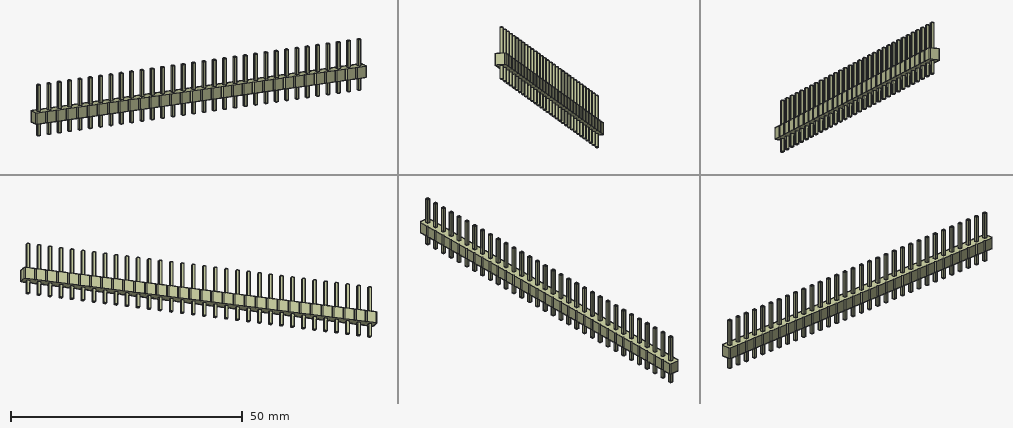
import cadquery as cq

row_length = 81.3
pin_count = 32
pitch = row_length / pin_count

body_width = pitch
body_height = pitch
corner_chamfer = 0.25

pin_width = 0.64
tip_chamfer = 0.2
pin_above_body = 6.0
pin_below_body = 3.0
pin_length = pin_below_body + body_height + pin_above_body

cell_centres = [(i - (pin_count - 1) / 2) * pitch for i in range(pin_count)]


def make_cell():
    """One insulator cell with its four upright corners cut off, centred on the Z axis."""
    return (
        cq.Workplane("XY")
        .box(body_width, pitch, body_height, centered=(True, True, False))
        .edges("|Z")
        .chamfer(corner_chamfer)
    )


def make_pin():
    """One square pin with both tips tapered, centred on the Z axis."""
    return (
        cq.Workplane("XY")
        .workplane(offset=-pin_below_body)
        .box(pin_width, pin_width, pin_length, centered=(True, True, False))
        .faces("<Z or >Z")
        .chamfer(tip_chamfer)
    )


header_unit = make_cell().union(make_pin()).val()
header_units = [header_unit.translate(cq.Vector(0, y, 0)) for y in cell_centres]

result = cq.Workplane("XY").newObject([header_units[0].fuse(*header_units[1:]).clean()])